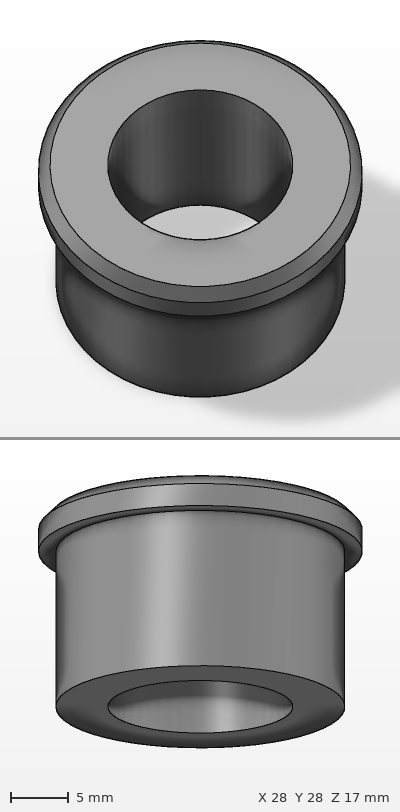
import cadquery as cq

flange_diameter = 28.0
flange_thickness = 3.0
flange_chamfer = 1.0
sleeve_diameter = 25.0
bore_diameter = 16.0
total_height = 17.0

sleeve_height = total_height - flange_thickness


def make_sleeve():
    return cq.Workplane("XY").circle(sleeve_diameter / 2).extrude(sleeve_height)


def make_flange():
    """Collar on top of the sleeve with a chamfered upper rim."""
    collar = (
        cq.Workplane("XY", origin=(0, 0, sleeve_height))
        .circle(flange_diameter / 2)
        .extrude(flange_thickness)
    )
    return collar.faces(">Z").edges().chamfer(flange_chamfer)


def make_bore():
    return cq.Workplane("XY").circle(bore_diameter / 2).extrude(total_height)


result = make_sleeve().union(make_flange()).cut(make_bore())